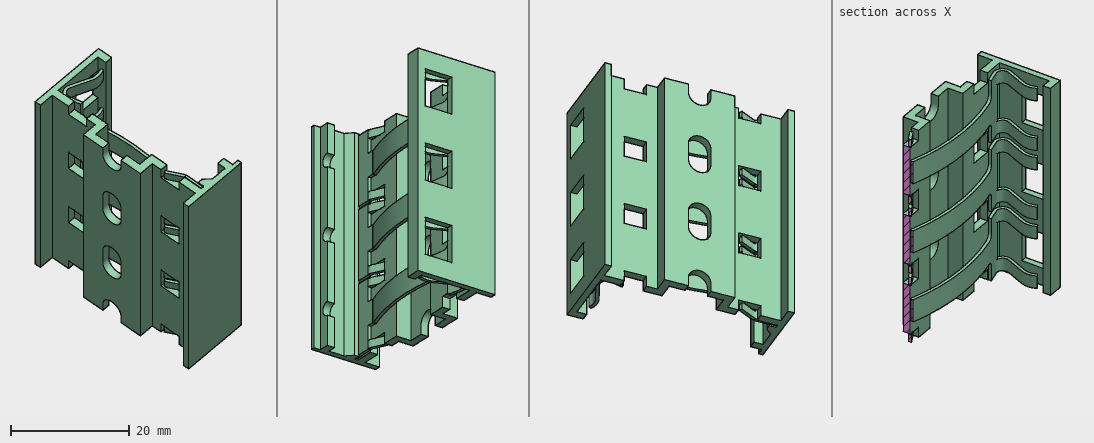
import cadquery as cq
import math

WIDTH = 35.0
DEPTH = 16.0
LENGTH = 42.0
HALF_WIDTH = WIDTH / 2
HALF_LENGTH = LENGTH / 2

SHEET = 1.5
SIDE_WALL = 1.2
WEB_BACK = 3.0
WEB_FRONT = WEB_BACK + SHEET
HAT_WIDTH = 13.0
HAT_INNER = HAT_WIDTH - 2 * SHEET
LIP_REACH = 3.0

RIGHT_WALL_TOP = 13.3
RIGHT_RIM = 0.8
LEDGE_TOP = 12.0
LEDGE_REACH = 2.85
HOOK_REACH = 2.45
HOOK_SHOULDER = 6.1
HOOK_GROOVE_TOP = 5.1
LEFT_INNER = -HALF_WIDTH + SIDE_WALL
RIGHT_INNER = HALF_WIDTH - SIDE_WALL

PITCH = 14.0
CENTRES = [-PITCH, 0.0, PITCH]
BETWEEN = [-1.5 * PITCH, -0.5 * PITCH, 0.5 * PITCH, 1.5 * PITCH]
WEB_WINDOW = 4.1
WEB_WINDOW_X = 10.55
SLOT_LENGTH = 7.5
SLOT_WIDTH = 4.1
WALL_WINDOW_LENGTH = 7.0
WALL_WINDOW_BACK = 9.0
WALL_WINDOW_FRONT = DEPTH - SHEET
NOTCH_RADIUS = 1.3

LEAF = 0.6
ARM_HALF = 6.3
ARM_INNER = 3.75
BODY_HALF = 2.25
HEAD_END_X = -11.8
HEAD_FILLET = 1.1
ARM_GAP_END_X = -14.6
FOOT_HALF = 6.7
FOOT_START_X = 12.3
FOOT_CLEARANCE = 0.1
FOOT_END_X = RIGHT_INNER - FOOT_CLEARANCE
FOOT_MID_Y = 4.9
TAB_INNER = 5.05
TAB_OUTER = 6.6
TAB_CORNER = 0.35
TAB_TIP = (9.0, 3.35)
TAB_BEND_START = (11.7, 4.73)

ARM_ANGLE = 67.0
LOOP_RADIUS = 1.45
LOOP_CLEARANCE = 0.05
LOOP_INSET = LOOP_CLEARANCE + LEAF / 2 + LOOP_RADIUS
LOOP_CENTRE = (LEFT_INNER + LOOP_INSET, WEB_FRONT + LOOP_INSET)
ARM_LENGTH = 4.05
CURL_RADIUS = 3.2
CURL_SWEEP = 52.0
BOW_ANGLE = 14.5
BOW_LEAD = 3.0
BOW_END = (11.1, 4.75)


def polar(centre, radius, angle):
    """Point at a distance from `centre`, in a direction given in degrees from X."""
    turn = math.radians(angle)
    return (centre[0] + radius * math.cos(turn), centre[1] + radius * math.sin(turn))


def box(x0, x1, y0, y1, z0, z1):
    return cq.Workplane("XY").box(x1 - x0, y1 - y0, z1 - z0, centered=False).translate((x0, y0, z0))


def make_rail():
    hat_out = HAT_WIDTH / 2
    hat_in = HAT_INNER / 2
    ledge_back = LEDGE_TOP - SHEET
    hook_x = HALF_WIDTH - HOOK_REACH
    hook_top = HOOK_SHOULDER + HOOK_REACH - SIDE_WALL
    outline = [
        (-HALF_WIDTH, 0),
        (LEFT_INNER, 0),
        (LEFT_INNER, WEB_BACK),
        (-hat_out, WEB_BACK),
        (-hat_out, 0),
        (hat_out, 0),
        (hat_out, WEB_BACK),
        (RIGHT_INNER, WEB_BACK),
        (RIGHT_INNER, 0),
        (HALF_WIDTH, 0),
        (HALF_WIDTH, RIGHT_WALL_TOP),
        (HALF_WIDTH - RIGHT_RIM, RIGHT_WALL_TOP),
        (HALF_WIDTH - RIGHT_RIM, LEDGE_TOP),
        (HALF_WIDTH - LEDGE_REACH, LEDGE_TOP),
        (HALF_WIDTH - LEDGE_REACH, ledge_back),
        (RIGHT_INNER, ledge_back),
        (RIGHT_INNER, hook_top),
        (hook_x, HOOK_SHOULDER),
        (hook_x, HOOK_GROOVE_TOP),
        (RIGHT_INNER, HOOK_GROOVE_TOP),
        (RIGHT_INNER, WEB_FRONT),
        (hat_in, WEB_FRONT),
        (hat_in, SHEET),
        (-hat_in, SHEET),
        (-hat_in, WEB_FRONT),
        (LEFT_INNER, WEB_FRONT),
        (LEFT_INNER, DEPTH - SHEET),
        (-HALF_WIDTH + LIP_REACH, DEPTH - SHEET),
        (-HALF_WIDTH + LIP_REACH, DEPTH),
        (-HALF_WIDTH, DEPTH),
    ]
    return cq.Workplane("XY").polyline(outline).close().extrude(HALF_LENGTH, both=True)


def cut_openings(rail):
    web_points = [(side * WEB_WINDOW_X, z) for side in (-1, 1) for z in BETWEEN]
    slot_points = [(0, z) for z in BETWEEN]
    windows = cq.Workplane("XZ").pushPoints(web_points).rect(WEB_WINDOW, WEB_WINDOW).extrude(-WEB_FRONT)
    slots = cq.Workplane("XZ").pushPoints(slot_points).slot2D(SLOT_LENGTH, SLOT_WIDTH, 90).extrude(-SHEET)
    notches = (
        cq.Workplane("XZ", origin=(HALF_WIDTH - LEDGE_REACH, LEDGE_TOP, 0))
        .pushPoints([(0, z) for z in CENTRES])
        .circle(NOTCH_RADIUS)
        .extrude(SHEET)
    )
    rail = rail.cut(windows).cut(slots).cut(notches)
    for z in CENTRES:
        rail = rail.cut(box(
            -HALF_WIDTH, LEFT_INNER, WALL_WINDOW_BACK, WALL_WINDOW_FRONT,
            z - WALL_WINDOW_LENGTH / 2, z + WALL_WINDOW_LENGTH / 2,
        ))
    return rail


def make_strip(path, start, toward, z0, z1):
    """Sheet strip of the leaf's thickness along an XY path that leaves `start` in direction `toward`."""
    plane = cq.Plane(origin=(*start, (z0 + z1) / 2), xDir=(0, 0, 1), normal=(*toward, 0))
    return cq.Workplane(plane).rect(z1 - z0, LEAF).sweep(path)


def make_leaf():
    """Bowed leaf with a wide, forked head that curls up along the left wall."""
    loop_start = polar(LOOP_CENTRE, LOOP_RADIUS, ARM_ANGLE + 90)
    loop_mid = polar(LOOP_CENTRE, LOOP_RADIUS, (ARM_ANGLE + BOW_ANGLE) / 2 + 180)
    loop_end = polar(LOOP_CENTRE, LOOP_RADIUS, BOW_ANGLE + 270)
    curl_start = polar(loop_start, ARM_LENGTH, ARM_ANGLE)
    curl_centre = polar(curl_start, CURL_RADIUS, ARM_ANGLE + 90)
    curl_mid = polar(curl_centre, CURL_RADIUS, ARM_ANGLE - 90 + CURL_SWEEP / 2)
    tip = polar(curl_centre, CURL_RADIUS, ARM_ANGLE - 90 + CURL_SWEEP)
    bow_start = polar(loop_end, BOW_LEAD, BOW_ANGLE)
    path = (
        cq.Workplane("XY")
        .moveTo(*tip)
        .threePointArc(curl_mid, curl_start)
        .lineTo(*loop_start)
        .threePointArc(loop_mid, loop_end)
        .lineTo(*bow_start)
        .tangentArcPoint(BOW_END, relative=False)
    )
    tip_direction = polar((0, 0), 1, ARM_ANGLE + CURL_SWEEP + 180)
    band = make_strip(path, tip, tip_direction, -ARM_HALF, ARM_HALF)
    head = box(-HALF_WIDTH, HEAD_END_X, 0, DEPTH, -ARM_HALF, ARM_HALF)
    body = box(HEAD_END_X, HALF_WIDTH, 0, DEPTH, -BODY_HALF, BODY_HALF)
    loop_gap = box(-HALF_WIDTH, ARM_GAP_END_X, 0, DEPTH, -ARM_INNER, ARM_INNER)
    upper_gap = box(-HALF_WIDTH, HEAD_END_X, LOOP_CENTRE[1], DEPTH, -ARM_INNER, ARM_INNER)
    arm_gap = loop_gap.union(upper_gap)
    shoulders = cq.selectors.BoxSelector(
        (HEAD_END_X - LEAF, 0, -BODY_HALF - LEAF),
        (HEAD_END_X + LEAF, DEPTH, BODY_HALF + LEAF),
    )
    plan = head.union(body).edges(shoulders).edges("|Y").fillet(HEAD_FILLET).cut(arm_gap)
    return band.intersect(plan)


def make_foot():
    """Flat plate held under the hook, with two tabs bent down into the web windows."""
    bottom = FOOT_MID_Y - LEAF / 2
    top = FOOT_MID_Y + LEAF / 2
    foot = box(FOOT_START_X, FOOT_END_X, bottom, top, -FOOT_HALF, FOOT_HALF)
    foot = foot.union(box(BOW_END[0], FOOT_START_X, bottom, top, -BODY_HALF, BODY_HALF))
    tab_direction = (TAB_BEND_START[0] - TAB_TIP[0], TAB_BEND_START[1] - TAB_TIP[1])
    path = (
        cq.Workplane("XY")
        .moveTo(*TAB_TIP)
        .lineTo(*TAB_BEND_START)
        .tangentArcPoint((FOOT_START_X, FOOT_MID_Y), relative=False)
    )
    tab = make_strip(path, TAB_TIP, tab_direction, TAB_INNER, TAB_OUTER)
    tip_corner = cq.selectors.NearestToPointSelector((*TAB_TIP, TAB_INNER))
    tab = tab.edges(tip_corner).chamfer(TAB_CORNER)
    return foot.union(tab).union(tab.mirror("XY"))


rail = cut_openings(make_rail())
spring = make_leaf().union(make_foot())
result = rail
for centre in CENTRES:
    result = result.union(spring.translate((0, 0, centre)))